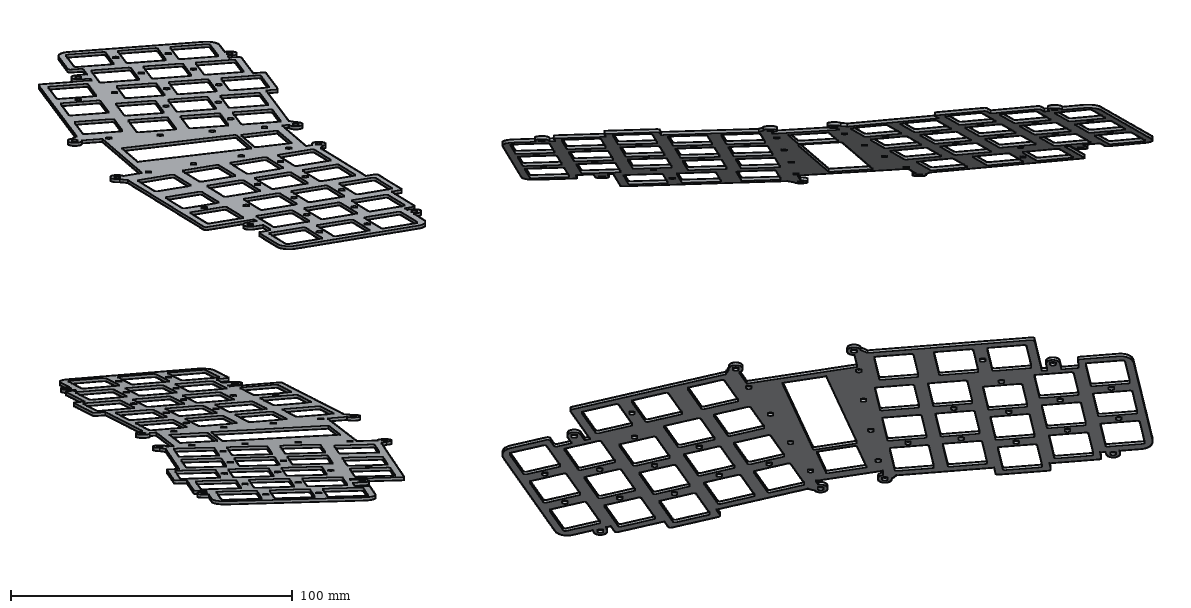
import cadquery as cq
THICKNESS = 1.2
KEY_PITCH = 19.05
HALF_TILT = 7.0
FIRST_KEY = (24.35, 26.09)

WINDOW_WIDTH = 14.1
WINDOW_LENGTH = 14.5
WINDOW_CORNER_RADIUS = 0.8
ROWS = 3
COLUMN_STAGGER = [offset * KEY_PITCH for offset in (0, 0, 0.25, 0, -0.25)]
THUMB_COLUMNS = (0.125, 1.25, 2.25)
THUMB_Y = -ROWS * KEY_PITCH

SIDE_RIM = 10.0
END_RIM = 10.05
COLUMN3_RIGHT_RIM = 9.85
COLUMN3_TOP_RIM = 9.8
COLUMN5_TOP_RIM = 10.48
THUMB_SIDE_RIM = 10.35
HALF_PITCH = KEY_PITCH / 2
INNER_EDGE_X = -11.35
OUTER_CORNER_RADIUS = 4.75
CORNER_RADIUS = 1.0

EAR_RADIUS = 2.5
EAR_HOLE_DIAMETER = 2.2
OUTER_NECK = (4.5, 5.0)
INNER_NECK = (4.8, 4.0)
EARS = [
    ((94.19, 41.80), -90, OUTER_NECK),
    ((87.91, -17.90), 90 + HALF_TILT, OUTER_NECK),
    ((11.80, 36.20), -45 + HALF_TILT, INNER_NECK),
    ((21.72, -43.74), 45 + HALF_TILT, INNER_NECK),
]

SCREW_HOLE_DIAMETER = 2.1
SIDE_HOLE_X = -12.0
LOW_SIDE_HOLE = (-11.1, -56.55)
HOLES_BELOW_KEYS = [(0, 0), (1, 0), (1, 1), (2, 0), (2, 1), (2, 2), (3, 0), (3, 1), (4, 0), (4, 1)]

BRIDGE_TOP = 31.2
BRIDGE_BOTTOM = -33.9
BRIDGE_HALF_WIDTH_TOP = 14.0
BRIDGE_HALF_WIDTH_BOTTOM = 22.0
SMALL_WINDOW = (14.8, 27.6, 13.7)
LARGE_WINDOW = (16.2, 12.2, -31.0)
CENTRE_WINDOW_RADIUS = 0.8


def key_centre(column, row):
    return column * KEY_PITCH, COLUMN_STAGGER[column] - row * KEY_PITCH


def to_plate(shape):
    """Move a shape from the tilted frame of the right half to the plate frame."""
    return shape.rotate((0, 0, 0), (0, 0, 1), HALF_TILT).translate((*FIRST_KEY, 0))


def round_corners(plate, corners, radius):
    for x, y in corners:
        edge = cq.selectors.NearestToPointSelector((x, y, THICKNESS / 2))
        plate = plate.edges("|Z").edges(edge).fillet(radius)
    return plate


def half_body():
    column3_left = 2 * KEY_PITCH - SIDE_RIM
    column3_right = 2 * KEY_PITCH + COLUMN3_RIGHT_RIM
    column3_top = COLUMN_STAGGER[2] + COLUMN3_TOP_RIM
    column4_right = 3 * KEY_PITCH + HALF_PITCH
    column4_bottom = -(ROWS - 1) * KEY_PITCH - HALF_PITCH
    column5_right = 4 * KEY_PITCH + SIDE_RIM
    column5_top = COLUMN_STAGGER[4] + COLUMN5_TOP_RIM
    column5_bottom = COLUMN_STAGGER[4] - (ROWS - 1) * KEY_PITCH - END_RIM
    thumb_right = THUMB_COLUMNS[-1] * KEY_PITCH + THUMB_SIDE_RIM
    thumb_bottom = THUMB_Y - END_RIM
    outline = [
        (INNER_EDGE_X, END_RIM),
        (column3_left, END_RIM),
        (column3_left, column3_top),
        (column3_right, column3_top),
        (column3_right, END_RIM),
        (column4_right, END_RIM),
        (column4_right, column5_top),
        (column5_right, column5_top),
        (column5_right, column5_bottom),
        (column4_right, column5_bottom),
        (column4_right, column4_bottom),
        (thumb_right, column4_bottom),
        (thumb_right, thumb_bottom),
        (INNER_EDGE_X, thumb_bottom),
    ]
    body = cq.Workplane().polyline(outline).close().extrude(THICKNESS)
    outer_corners = [(column5_right, column5_top), (column5_right, column5_bottom)]
    small_corners = [
        (column3_left, column3_top),
        (column3_right, column3_top),
        (column4_right, END_RIM),
        (column4_right, column5_bottom),
        (column4_right, column4_bottom),
        (thumb_right, thumb_bottom),
    ]
    body = round_corners(body, outer_corners, OUTER_CORNER_RADIUS)
    return round_corners(body, small_corners, CORNER_RADIUS)


def ear(centre, neck_angle, neck_size):
    neck_length, neck_width = neck_size
    disc = cq.Workplane().circle(EAR_RADIUS).extrude(THICKNESS)
    neck = cq.Workplane().rect(neck_length, neck_width).extrude(THICKNESS)
    neck = neck.translate((neck_length / 2, 0, 0)).rotate((0, 0, 0), (0, 0, 1), neck_angle)
    return disc.union(neck).translate((*centre, 0))


def key_windows():
    centres = [key_centre(column, row) for column in range(len(COLUMN_STAGGER)) for row in range(ROWS)]
    centres += [(column * KEY_PITCH, THUMB_Y) for column in THUMB_COLUMNS]
    windows = cq.Workplane().pushPoints(centres).rect(WINDOW_WIDTH, WINDOW_LENGTH).extrude(THICKNESS)
    return windows.edges("|Z").fillet(WINDOW_CORNER_RADIUS)


def screw_holes():
    points = [LOW_SIDE_HOLE]
    points += [(SIDE_HOLE_X, -row * KEY_PITCH) for row in range(ROWS)]
    for column, row in HOLES_BELOW_KEYS:
        x, y = key_centre(column, row)
        points.append((x, y - HALF_PITCH))
    thumb_gap_x = (THUMB_COLUMNS[1] + THUMB_COLUMNS[2]) / 2 * KEY_PITCH
    points.append((thumb_gap_x, THUMB_Y))
    return cq.Workplane().pushPoints(points).circle(SCREW_HOLE_DIAMETER / 2).extrude(THICKNESS)


def ear_holes():
    centres = [centre for centre, _, _ in EARS]
    return cq.Workplane().pushPoints(centres).circle(EAR_HOLE_DIAMETER / 2).extrude(THICKNESS)


def bridge():
    outline = [
        (-BRIDGE_HALF_WIDTH_TOP, BRIDGE_TOP),
        (BRIDGE_HALF_WIDTH_TOP, BRIDGE_TOP),
        (BRIDGE_HALF_WIDTH_BOTTOM, BRIDGE_BOTTOM),
        (-BRIDGE_HALF_WIDTH_BOTTOM, BRIDGE_BOTTOM),
    ]
    return cq.Workplane().polyline(outline).close().extrude(THICKNESS)


def centre_window(width, top, bottom, rounded_edges):
    window = cq.Workplane().rect(width, top - bottom).extrude(THICKNESS)
    window = window.translate((0, (top + bottom) / 2, 0))
    return window.edges("|Z").edges(rounded_edges).fillet(CENTRE_WINDOW_RADIUS)


def both_halves(shape):
    return shape.union(shape.mirror("YZ"))


half = to_plate(half_body())
for ear_centre, neck_angle, neck_size in EARS:
    half = half.union(ear(ear_centre, neck_angle, neck_size))
plate = both_halves(half).union(bridge())

half_openings = to_plate(key_windows()).union(to_plate(screw_holes())).union(ear_holes())
plate = plate.cut(both_halves(half_openings))
plate = plate.cut(centre_window(*SMALL_WINDOW, "<Y"))
plate = plate.cut(centre_window(*LARGE_WINDOW, ">Y"))

result = plate